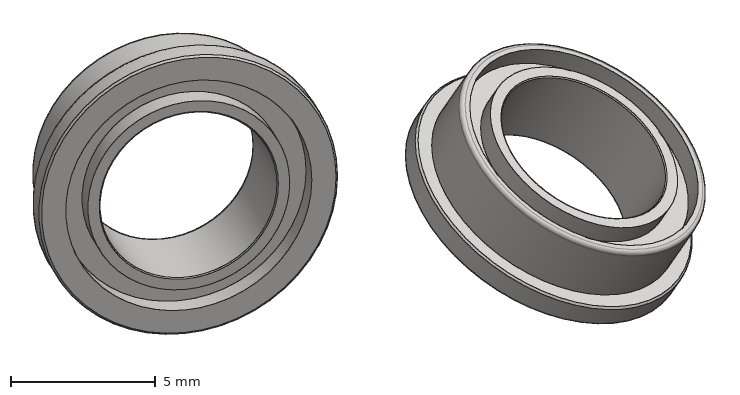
import cadquery as cq

width = 3.17
flange_diameter = 10.72
flange_width = 0.91
flange_chamfer = 0.08
body_diameter = 9.52
body_fillet = 0.16
bore_diameter = 6.35
bore_chamfer = 0.04

recess_outer_diameter = 8.83
recess_inner_diameter = 7.25
recess_depth = 0.75

left_face = -width / 2
right_face = width / 2


def ring(start_x, length, outer_diameter, inner_diameter=None):
    """Disc or annulus about the X axis, extending toward +X from start_x."""
    profile = cq.Workplane("YZ", origin=(start_x, 0, 0)).circle(outer_diameter / 2)
    if inner_diameter is not None:
        profile = profile.circle(inner_diameter / 2)
    return profile.extrude(length)


body = ring(left_face, width, body_diameter).faces("<X").edges().fillet(body_fillet)

flange = ring(right_face - flange_width, flange_width, flange_diameter)
flange = flange.edges().chamfer(flange_chamfer)

bearing = body.union(flange).cut(ring(left_face, width, bore_diameter))
bore_mouths = cq.selectors.RadiusNthSelector(0)
bearing = bearing.faces("<X or >X").edges("%CIRCLE").edges(bore_mouths).chamfer(bore_chamfer)

for recess_start in (left_face, right_face - recess_depth):
    bearing = bearing.cut(
        ring(recess_start, recess_depth, recess_outer_diameter, recess_inner_diameter)
    )

result = bearing